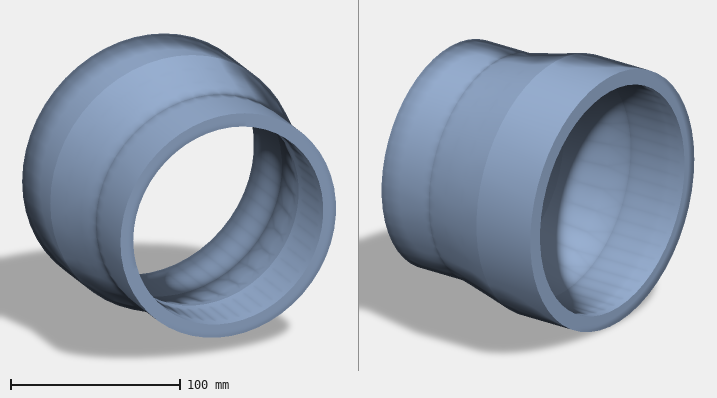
import cadquery as cq

wide_outer_diameter = 160.0
wide_wall = 9.5
wide_length = 40.0

narrow_outer_diameter = 140.0
narrow_wall = 8.3
narrow_length = 35.0

total_length = 118.0

wide_outer_radius = wide_outer_diameter / 2
wide_inner_radius = wide_outer_radius - wide_wall
narrow_outer_radius = narrow_outer_diameter / 2
narrow_inner_radius = narrow_outer_radius - narrow_wall
cone_start = wide_length
cone_end = total_length - narrow_length


def make_reducer():
    """Revolve the wall section, drawn on the -Y side, about the X axis."""
    wall_section = (
        cq.Workplane("XY")
        .moveTo(0, -wide_outer_radius)
        .lineTo(cone_start, -wide_outer_radius)
        .lineTo(cone_end, -narrow_outer_radius)
        .lineTo(total_length, -narrow_outer_radius)
        .lineTo(total_length, -narrow_inner_radius)
        .lineTo(cone_end, -narrow_inner_radius)
        .lineTo(cone_start, -wide_inner_radius)
        .lineTo(0, -wide_inner_radius)
        .close()
    )
    return wall_section.revolve(360, (0, 0, 0), (1, 0, 0))


result = make_reducer()